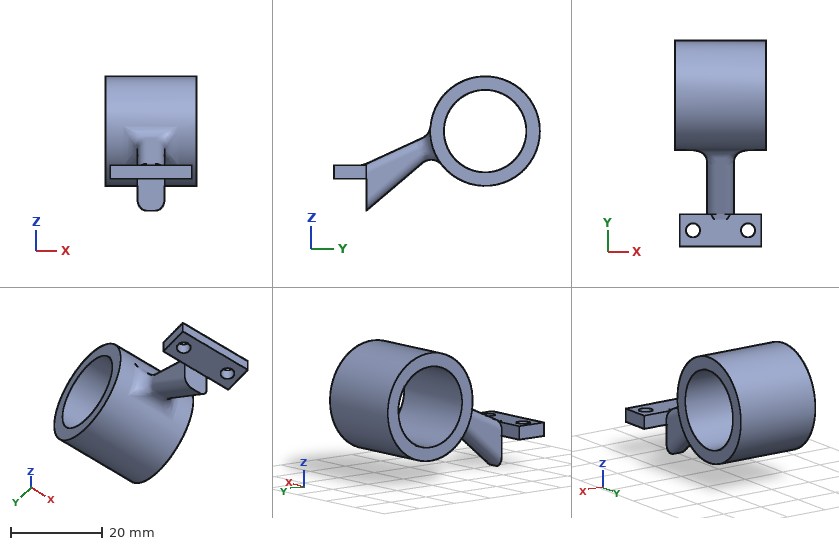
import cadquery as cq

ring_outer_diameter = 24.0
ring_bore_diameter = 17.95
ring_length = 20.0
ring_radius = ring_outer_diameter / 2

total_depth = 45.05
plate_width = 17.9
plate_depth = 7.05
plate_thickness = 3.0
plate_top = -7.45
hole_diameter = 3.0
hole_spacing = 12.03
plate_bottom = plate_top - plate_thickness
plate_front = ring_radius - total_depth
plate_back = plate_front + plate_depth

total_height = 29.4
arm_width = 6.0
arm_edge_radius = 2.0
arm_foot_radius = 3.0
arm_top = -7.1
arm_top_slope = 0.46
arm_bottom_slope = 0.85
arm_root = -9.25
arm_tip_length = 1.2
arm_bottom = ring_radius - total_height

margin = 0.45


def half_extrusion(sketch, width):
    """Extrude a YZ sketch from the middle plane toward -X by half the width."""
    return sketch.extrude(-width / 2)


def side_selector(y_back, y_front):
    """Pick edges centred off the middle plane, on or near the arm, between two Y places."""
    return cq.selectors.BoxSelector(
        (-arm_width / 2 - margin, y_front, arm_bottom - margin),
        (-margin, y_back, ring_radius),
    )


def make_half_arm():
    run = arm_root - plate_back
    profile = [
        (arm_root, arm_top + arm_top_slope * run),
        (plate_back, arm_top),
        (plate_back, arm_bottom),
        (arm_root, arm_bottom + arm_bottom_slope * run),
    ]
    return half_extrusion(cq.Workplane("YZ").polyline(profile).close(), arm_width)


def make_half_tip():
    """Rounded sliver that continues the arm's top surface onto the plate."""
    tip_front = plate_back - arm_tip_length
    profile = [
        (plate_back, arm_top),
        (tip_front, plate_top),
        (tip_front, plate_bottom),
        (plate_back, plate_bottom),
    ]
    tip = half_extrusion(cq.Workplane("YZ").polyline(profile).close(), arm_width)
    return tip.faces("<X").edges(">Z").fillet(arm_edge_radius)


def make_half_body():
    """Ring and arm for X < 0: blend the arm's foot, then round its long edges."""
    ring = half_extrusion(cq.Workplane("YZ").circle(ring_radius), ring_length)
    body = ring.union(make_half_arm())

    foot_edges = side_selector(arm_root, -ring_radius - margin)
    body = body.edges(foot_edges).fillet(arm_foot_radius)

    long_edges = side_selector(-ring_radius - arm_foot_radius, plate_back + margin)
    body = body.edges(long_edges).fillet(arm_edge_radius)
    return body.union(make_half_tip())


def make_plate():
    plate_middle = plate_front + plate_depth / 2
    return (
        cq.Workplane("XY", origin=(0, plate_middle, plate_bottom))
        .rect(plate_width, plate_depth)
        .extrude(plate_thickness)
        .faces(">Z")
        .workplane(centerOption="CenterOfBoundBox")
        .rarray(hole_spacing, 0.45, 2, 1)
        .hole(hole_diameter)
    )


half_body = make_half_body()
body = half_body.union(half_body.mirror("YZ"))
bore = cq.Workplane("YZ").circle(ring_bore_diameter / 2).extrude(ring_length / 2, both=True)
result = body.cut(bore).union(make_plate())